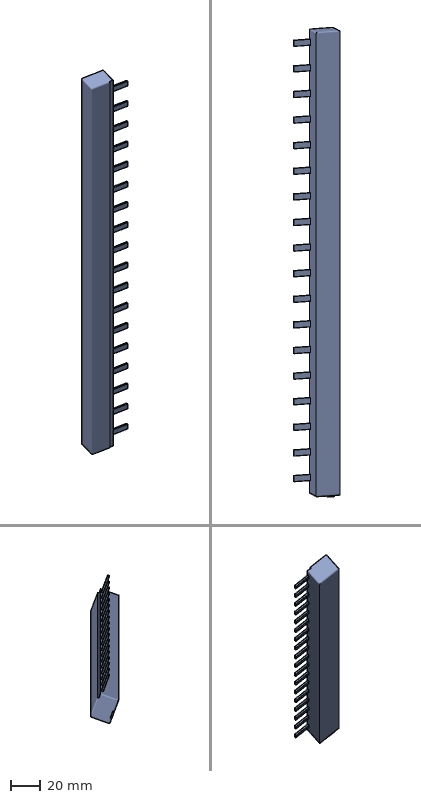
import cadquery as cq

body_width = 14.3
overall_depth = 29.8
overall_length = 324.0
body_depth = 17.8
edge_radius = 1.0

step_width = 1.0
step_depth = 3.2

nub_width = 1.0
nub_depth = 5.2
nub_height = 0.5
nub_front = 4.2
nub_inset = 0.3

pin_count = 18
pin_pitch = 17.8
pin_thickness = 1.3
pin_height = 4.2
pin_tip_chamfer = 0.3
pin_center_x = 5.0
pin_row_center_z = 1.5

body_length = overall_length - nub_height
left = -body_width / 2
right = body_width / 2
top = overall_length / 2
bottom = top - body_length


def make_body():
    """Long bar with its front and end edges rounded and a stepped rear right corner."""
    bar = cq.Workplane("XY").box(body_width, body_depth, body_length, centered=(True, False, False))
    bar = bar.translate((0, 0, bottom))
    bar = bar.faces("<Y or <Z or >Z").edges().fillet(edge_radius)
    step = cq.Workplane("XY").box(step_width, step_depth, body_length, centered=False)
    return bar.cut(step.translate((right - step_width, body_depth - step_depth, bottom)))


def make_nub():
    """Low block under the lower end, sunk into the body so that the two join."""
    sunk_height = nub_height + 2 * edge_radius
    nub = cq.Workplane("XY").box(nub_width, nub_depth, sunk_height, centered=False)
    return nub.translate((left + nub_inset, nub_front, -overall_length / 2))


def make_pin(center_z):
    """Flat pin standing on the rear face, its tip corners chamfered."""
    pin_length = overall_depth - body_depth
    pin = cq.Workplane("XY").box(pin_thickness, pin_length, pin_height, centered=(True, False, True))
    pin = pin.faces(">Y").edges("|X").chamfer(pin_tip_chamfer)
    return pin.translate((pin_center_x, body_depth, center_z))


result = make_body().union(make_nub())
for index in range(pin_count):
    offset = (index - (pin_count - 1) / 2) * pin_pitch
    result = result.union(make_pin(pin_row_center_z + offset))